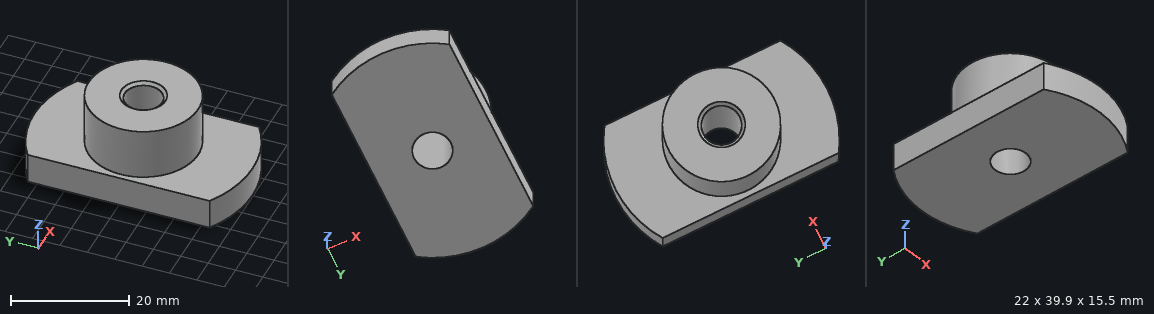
import cadquery as cq

plate_diameter = 39.85
plate_width = 22.0
plate_thickness = 5.78

boss_diameter = 19.95
total_height = 15.5

bore_diameter = 6.8
bore_mouth_diameter = 8.0
chamfer_depth = 0.5

disc = cq.Workplane("XY").circle(plate_diameter / 2).extrude(plate_thickness)
flats = cq.Workplane("XY").rect(plate_width, plate_diameter).extrude(plate_thickness)
plate = disc.intersect(flats)

boss = cq.Workplane("XY").circle(boss_diameter / 2).extrude(total_height)
body = plate.union(boss)

bore = cq.Workplane("XY").circle(bore_diameter / 2).extrude(total_height)

bore_mouth = (
    cq.Workplane("XY", origin=(0, 0, total_height - chamfer_depth))
    .circle(bore_diameter / 2)
    .workplane(offset=chamfer_depth)
    .circle(bore_mouth_diameter / 2)
    .loft(ruled=True)
)

result = body.cut(bore).cut(bore_mouth)